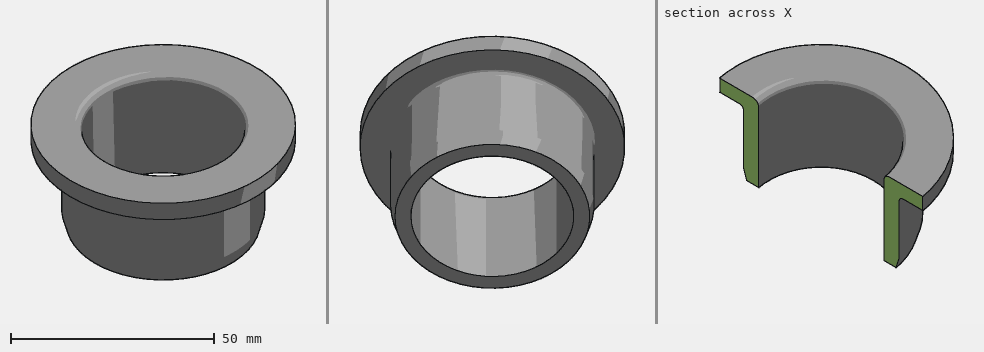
import cadquery as cq
import math

height = 30.0
flange_diameter = 65.0
flange_thickness = 5.0
sleeve_diameter = 50.0
bore_diameter = 40.0
bore_rounding = 2.0
neck_fillet = 1.2
taper_length = 4.0
taper_angle = 15.0

flange_radius = flange_diameter / 2
sleeve_radius = sleeve_diameter / 2
bore_radius = bore_diameter / 2
flange_bottom = height - flange_thickness
tip_radius = sleeve_radius - taper_length * math.tan(math.radians(taper_angle))

half_section = (
    cq.Workplane("XZ")
    .moveTo(bore_radius, 0)
    .lineTo(tip_radius, 0)
    .lineTo(sleeve_radius, taper_length)
    .lineTo(sleeve_radius, flange_bottom - neck_fillet)
    .radiusArc((sleeve_radius + neck_fillet, flange_bottom), neck_fillet)
    .lineTo(flange_radius, flange_bottom)
    .lineTo(flange_radius, height)
    .lineTo(bore_radius + bore_rounding, height)
    .radiusArc((bore_radius, height - bore_rounding), -bore_rounding)
    .close()
)
result = half_section.revolve(360, (0, 0, 0), (0, 1, 0))